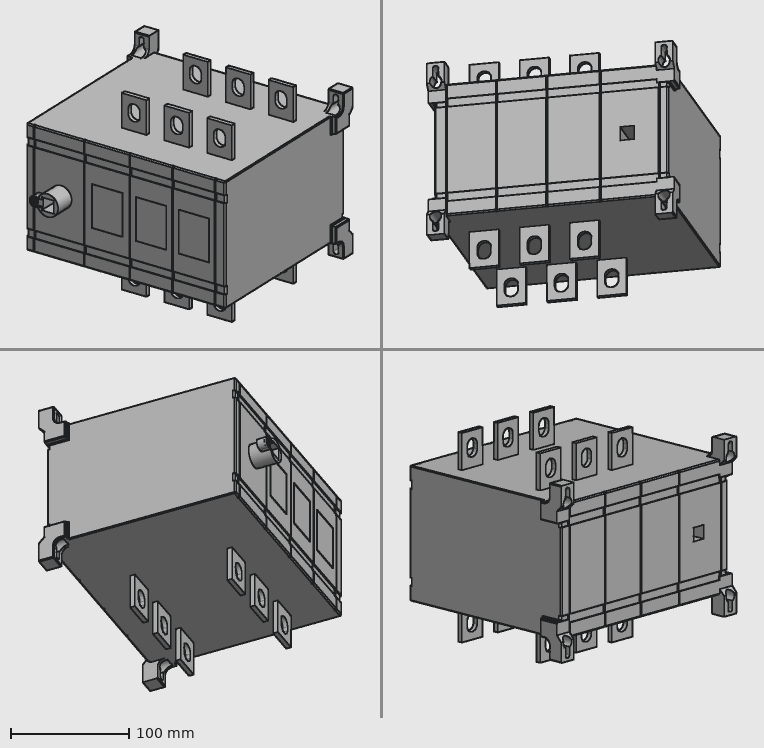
import cadquery as cq


WIDTH = 215.0
DEPTH = 203.0
HEIGHT = 184.0
Y_BACK = DEPTH / 2

BODY_W = 204.2
BODY_H = 119.0
BODY_CHAMFER = 0.9
FACE_CHAMFER = 1.3
FACE_BACK = 5.2
FACE_FRONT = 182.8
BAND_INNER = 39.0
BAND_OUTER = 46.5
BAND_DEPTH = 1.0
BAND_END_CHAMFER = 1.7
JOINT_X = (-94.2, -42.5, 4.0, 48.0, 91.5)
JOINT_W = 1.3
JOINT_DEPTH = 0.9

POLE_X = (-17.8, 26.0, 69.9)
TAB_W = 25.4
TAB_T = 4.5
TAB_DEPTHS = (50.5, 142.1)
TAB_HOLE_W = 12.0
TAB_HOLE_H = 16.3
TAB_HOLE_Z = 76.8
WINDOW_X = (-19.1, 26.0, 69.9)
WINDOW_W = 31.2
WINDOW_H = 41.0
WINDOW_DEPTH = 0.5

FOOT_W = 15.5
FOOT_TOP = 77.8
FOOT_BOTTOM = 43.5
FOOT_PAD = 14.2
FOOT_REACH = 25.0
FOOT_RADIUS = 6.2
FOOT_SLANT_TOP = 59.5
FOOT_CHAMFER = 0.9
RIM = 1.0
KEY_SLOT_W = 5.0
KEY_SLOT_TOP = 74.8
KEY_HEAD_D = 10.0
KEY_HEAD_Z = 61.0
KEY_HEAD_DEPTH = 22.0

SHAFT_X = -66.2
SHAFT_D = 21.5
SHAFT_ROOT = 2.2
SQUARE = 12.3
LUG_X = -80.0
LUG_W = 9.7
LUG_LENGTH = 8.8
CHANNEL_W = 7.5
CHANNEL_DEPTH = 2.2
SCREW_D = 5.8
SCREW_SLOT_W = 1.7
SCREW_SLOT_DEPTH = 1.0
SCREW_RECESS = 0.5


def block(x0, x1, depth0, depth1, z0, z1):
    """Box between two X, two depths behind the mounting plane and two Z."""
    box = cq.Workplane("XY").box(x1 - x0, depth1 - depth0, z1 - z0, centered=False)
    return box.translate((x0, Y_BACK - depth1, z0))


def rod(x, z, diameter, depth0, depth1):
    """Cylinder along Y between two depths behind the mounting plane."""
    plane = cq.Workplane("XZ", origin=(x, Y_BACK - depth0, z))
    return plane.circle(diameter / 2).extrude(depth1 - depth0)


def make_housing():
    half_w = BODY_W / 2
    half_h = BODY_H / 2
    housing = block(-half_w, half_w, FACE_BACK, FACE_FRONT, -half_h, half_h)
    housing = housing.edges("|Y").chamfer(BODY_CHAMFER)
    housing = housing.faces("<Y or >Y").edges().chamfer(FACE_CHAMFER)

    core = block(-half_w, half_w, FACE_BACK + BAND_DEPTH, FACE_FRONT - BAND_DEPTH, -half_h, half_h)
    core = core.edges("|Z").chamfer(BAND_END_CHAMFER)
    for z0, z1 in ((-BAND_OUTER, -BAND_INNER), (BAND_INNER, BAND_OUTER)):
        slab = block(-half_w, half_w, FACE_BACK, FACE_FRONT, z0, z1)
        housing = housing.cut(slab.cut(core))

    groove = BAND_DEPTH + JOINT_DEPTH
    for x in JOINT_X:
        for depth in (FACE_BACK, FACE_FRONT - groove):
            joint = block(x - JOINT_W / 2, x + JOINT_W / 2, depth, depth + groove, -half_h, half_h)
            housing = housing.cut(joint)

    for x in WINDOW_X:
        window = block(
            x - WINDOW_W / 2, x + WINDOW_W / 2,
            FACE_FRONT - WINDOW_DEPTH, FACE_FRONT,
            -WINDOW_H / 2, WINDOW_H / 2,
        )
        housing = housing.cut(window)
    return housing


def make_tab(x, depth):
    """Terminal bar through the housing, with a slotted hole at each end."""
    bar = block(
        x - TAB_W / 2, x + TAB_W / 2,
        depth - TAB_T / 2, depth + TAB_T / 2,
        -HEIGHT / 2, HEIGHT / 2,
    )
    holes = (
        cq.Workplane("XZ", origin=(x, Y_BACK - depth, 0))
        .pushPoints([(0, TAB_HOLE_Z), (0, -TAB_HOLE_Z)])
        .slot2D(TAB_HOLE_H, TAB_HOLE_W, 90)
        .extrude(TAB_T, both=True)
    )
    return bar.cut(holes)


def make_foot():
    """Foot at the upper +X corner, before its keyhole is cut."""
    x_out = WIDTH / 2
    x_in = x_out - FOOT_W
    body_top = BODY_H / 2
    slant_bottom = FOOT_SLANT_TOP - FACE_BACK
    arc_end = FOOT_PAD + FOOT_RADIUS
    foot = (
        cq.Workplane("YZ", origin=(x_in, Y_BACK, 0))
        .moveTo(0, FOOT_TOP)
        .lineTo(0, FOOT_SLANT_TOP)
        .lineTo(-FACE_BACK, slant_bottom)
        .lineTo(-FACE_BACK, FOOT_BOTTOM)
        .lineTo(-FOOT_REACH, FOOT_BOTTOM)
        .lineTo(-FOOT_REACH, body_top)
        .lineTo(-arc_end, body_top)
        .radiusArc((-FOOT_PAD, body_top + FOOT_RADIUS), -FOOT_RADIUS)
        .lineTo(-FOOT_PAD, FOOT_TOP)
        .close()
        .extrude(FOOT_W)
    )
    sharp_limit = Y_BACK - FACE_BACK - FOOT_CHAMFER
    outer = foot.faces(">X").edges().filter(lambda edge: edge.Center().y < sharp_limit)
    foot = outer.chamfer(FOOT_CHAMFER)
    foot = foot.faces(">Z").edges("<Y").chamfer(FOOT_CHAMFER)

    rim = block(
        x_in, BODY_W / 2 + RIM,
        FACE_BACK + FACE_CHAMFER, FOOT_REACH + RIM,
        FOOT_BOTTOM - RIM, body_top,
    )
    return foot.union(rim)


def make_keyhole():
    """Keyhole of the upper +X foot: a narrow slot above a wide screw-head bore."""
    x = (WIDTH - FOOT_W) / 2
    slot_end = KEY_SLOT_TOP - KEY_SLOT_W / 2
    slot = block(x - KEY_SLOT_W / 2, x + KEY_SLOT_W / 2, 0, FOOT_PAD, KEY_HEAD_Z, slot_end)
    slot = slot.union(rod(x, slot_end, KEY_SLOT_W, 0, FOOT_PAD))
    return slot.union(rod(x, KEY_HEAD_Z, KEY_HEAD_D, 0, KEY_HEAD_DEPTH))


def at_four_corners(solid):
    """The solid together with its mirror images left and below."""
    upper = solid.union(solid.mirror("YZ"))
    return upper.union(upper.mirror("XY"))


def make_shaft():
    shaft = rod(SHAFT_X, 0, SHAFT_D, FACE_FRONT - SHAFT_ROOT, DEPTH)
    lug_back = DEPTH - LUG_LENGTH
    lug = rod(LUG_X, 0, LUG_W, lug_back, DEPTH)
    lug = lug.union(block(LUG_X, SHAFT_X, lug_back, DEPTH, -LUG_W / 2, LUG_W / 2))

    channel_floor = DEPTH - CHANNEL_DEPTH
    channel = rod(LUG_X, 0, CHANNEL_W, channel_floor, DEPTH)
    channel = channel.union(
        block(LUG_X, SHAFT_X, channel_floor, DEPTH, -CHANNEL_W / 2, CHANNEL_W / 2)
    )

    screw_top = DEPTH - SCREW_RECESS
    screw = rod(LUG_X, 0, SCREW_D, channel_floor - CHANNEL_DEPTH, screw_top)
    screw_slot = block(
        LUG_X - SCREW_D / 2, LUG_X + SCREW_D / 2,
        screw_top - SCREW_SLOT_DEPTH, screw_top,
        -SCREW_SLOT_W / 2, SCREW_SLOT_W / 2,
    )
    return shaft.union(lug).cut(channel).union(screw.cut(screw_slot))


part = make_housing()
for pole_x in POLE_X:
    for tab_depth in TAB_DEPTHS:
        part = part.union(make_tab(pole_x, tab_depth))
part = part.union(at_four_corners(make_foot()))
part = part.cut(at_four_corners(make_keyhole()))
part = part.union(make_shaft())

square_hole = block(
    SHAFT_X - SQUARE / 2, SHAFT_X + SQUARE / 2,
    0, DEPTH,
    -SQUARE / 2, SQUARE / 2,
)
result = part.cut(square_hole)